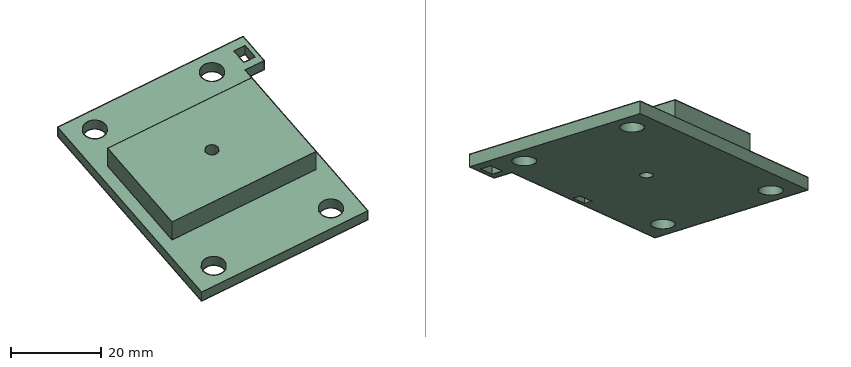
import cadquery as cq

plate_length = 58.2
plate_width = 43.95
plate_thickness = 3.0

tab_length = 8.55
total_width = 49.0

block_length = 26.0
block_width = 38.05
block_left = 15.7
block_front = 2.95
total_height = 9.0

mount_diameter = 5.5
mount_spacing_x = 48.1
mount_spacing_y = 30.95
mount_left = 5.05
mount_front = 6.5
center_hole_diameter = 3.0
center_hole_x = block_left + block_length / 2
center_hole_y = block_front + block_width / 2

slot_length = 4.0
tab_slot_width = 2.95
tab_slot_left = 2.5
tab_slot_front = 44.95
block_slot_left = 28.75
block_slot_front = block_front + block_width
block_slot_width = 2.05


def corner_box(left, front, length, width, height):
    """Box standing on the bottom plane, placed by its front left corner."""
    return cq.Workplane("XY").box(length, width, height, centered=False).translate((left, front, 0))


plate = corner_box(0, 0, plate_length, plate_width, plate_thickness)
tab = corner_box(0, 0, tab_length, total_width, plate_thickness)
block = corner_box(block_left, block_front, block_length, block_width, total_height)
body = plate.union(tab).union(block)

mount_centers = [
    (mount_left + dx, mount_front + dy)
    for dx in (0, mount_spacing_x)
    for dy in (0, mount_spacing_y)
]
mount_holes = (
    cq.Workplane("XY").pushPoints(mount_centers).circle(mount_diameter / 2).extrude(plate_thickness)
)

center_hole = (
    cq.Workplane("XY")
    .center(center_hole_x, center_hole_y)
    .circle(center_hole_diameter / 2)
    .extrude(total_height)
)

tab_slot = corner_box(tab_slot_left, tab_slot_front, slot_length, tab_slot_width, plate_thickness)
block_slot = corner_box(block_slot_left, block_slot_front, slot_length, block_slot_width, plate_thickness)

result = body.cut(mount_holes).cut(center_hole).cut(tab_slot).cut(block_slot)